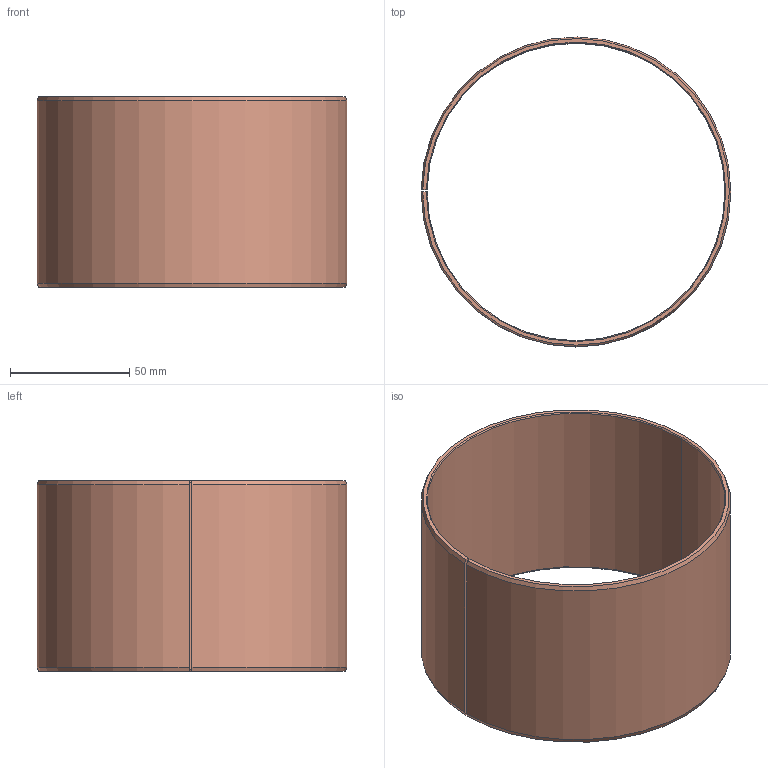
import cadquery as cq
import math

outer_diameter = 130.0
wall_thickness = 2.5
length = 80.0

outer_chamfer_length = 1.8
outer_chamfer_angle = 20.0

bore_chamfer_length = 0.6
bore_chamfer_angle = 30.0

slit_angle = 1.0

outer_radius = outer_diameter / 2
bore_radius = outer_radius - wall_thickness
half_length = length / 2


def make_sleeve():
    """Closed ring: the wall section with its end chamfers, revolved around Z."""
    outer_chamfer_depth = outer_chamfer_length * math.tan(math.radians(outer_chamfer_angle))
    bore_chamfer_depth = bore_chamfer_length * math.tan(math.radians(bore_chamfer_angle))
    end_outer_radius = outer_radius - outer_chamfer_depth
    end_bore_radius = bore_radius + bore_chamfer_depth
    outer_chamfer_z = half_length - outer_chamfer_length
    bore_chamfer_z = half_length - bore_chamfer_length
    section = (
        cq.Workplane("XZ")
        .moveTo(bore_radius, -bore_chamfer_z)
        .lineTo(end_bore_radius, -half_length)
        .lineTo(end_outer_radius, -half_length)
        .lineTo(outer_radius, -outer_chamfer_z)
        .lineTo(outer_radius, outer_chamfer_z)
        .lineTo(end_outer_radius, half_length)
        .lineTo(end_bore_radius, half_length)
        .lineTo(bore_radius, bore_chamfer_z)
        .close()
    )
    return section.revolve(360, (0, 0, 0), (0, 1, 0))


def make_slit():
    """Thin wedge from the axis past the outer wall on the -X side, over the full length."""
    wedge_reach = outer_diameter
    wedge_width = wedge_reach * math.tan(math.radians(slit_angle))
    return (
        cq.Workplane("XY")
        .lineTo(-wedge_reach, 0)
        .lineTo(-wedge_reach, wedge_width)
        .close()
        .extrude(half_length, both=True)
    )


result = make_sleeve().cut(make_slit())